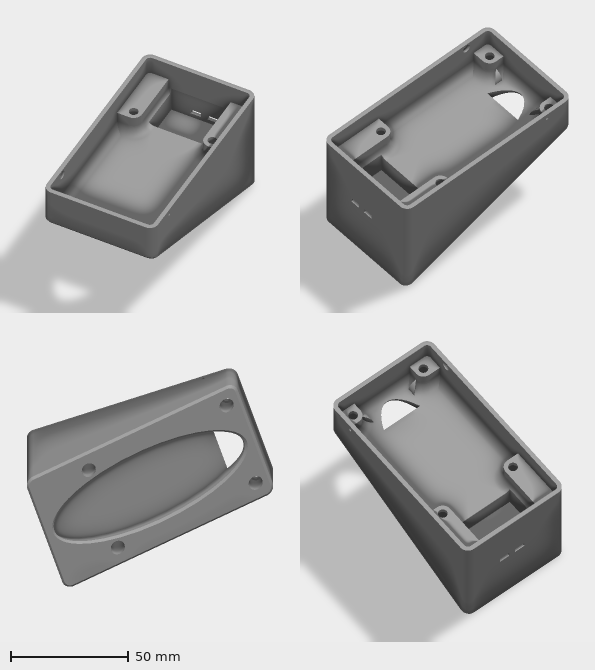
import cadquery as cq
import math

width = 53.7
length = 95.05
wall = 2.0
corner_radius = 4.0
front_height = 18.5
slope_angle = 20.0
edge_chamfer = 1.0

floor_depth = 18.0
floor_fillet = 4.0

boss_top_depth = 9.0
boss_radius = 4.0
hole_x = 19.0
front_hole_y = 6.4
back_hole_y = 68.6
screw_diameter = 4.2
screw_head_diameter = 6.0
screw_seat = 2.0

pocket_width = 27.85
pocket_front_y = 72.9
pocket_depth = 27.0
pocket_undercut = 0.5

slot_width = 5.0
slot_height = 2.2
slot_depth = 23.9
slot_x = 6.0
slot_spacing = 8.1
slot_count = 2

recess_width = 31.7
recess_length = 91.1
recess_depth = 6.0
recess_chamfer = 1.0
recess_center_y = 47.5

pin_y = 14.4
pin_depth = 2.8
pin_diameter = 1.4
pin_seat_diameter = 4.0
pin_seat_depth = 1.2

slope = math.radians(slope_angle)
back_height = front_height + length * math.tan(slope)
inner_x = width / 2 - wall
inner_back_y = length - wall
boss_side_x = hole_x - boss_radius


def box(x0, x1, y0, y1, z0, z1):
    return cq.Workplane("XY").box(x1 - x0, y1 - y0, z1 - z0, centered=False).translate((x0, y0, z0))


def vertical_cylinder(x, y, diameter, z0, z1):
    return cq.Workplane("XY", origin=(x, y, z0)).circle(diameter / 2).extrude(z1 - z0)


def outer_body():
    profile = [(0, 0), (length, 0), (length, -back_height), (0, -front_height)]
    body = cq.Workplane("YZ").polyline(profile).close().extrude(width / 2, both=True)
    body = body.edges("|Z").fillet(corner_radius)
    return body.faces("<Z").chamfer(edge_chamfer)


def boss(side, y0, y1, rounded_end):
    x0, x1 = sorted((side * boss_side_x, side * width / 2))
    block = box(x0, x1, y0, y1, -floor_depth, -boss_top_depth)
    inner_side = "<X" if side > 0 else ">X"
    return block.edges("|Z").edges(inner_side).edges(rounded_end).fillet(boss_radius)


def front_boss_gusset(side):
    """Straight piece of floor fillet that runs on past the rounded corner of a front boss."""
    x_boss = side * boss_side_x
    x_toe = x_boss - side * floor_fillet
    fillet_profile = (
        cq.Workplane("XZ", origin=(0, front_hole_y, -floor_depth))
        .moveTo(x_boss, 0)
        .lineTo(x_toe, 0)
        .radiusArc((x_boss, floor_fillet), side * floor_fillet)
        .close()
        .extrude(-floor_fillet)
    )
    mitre = (
        cq.Workplane("XY", origin=(0, 0, -floor_depth))
        .polyline([(x_boss, front_hole_y), (x_toe, front_hole_y), (x_toe, front_hole_y + floor_fillet)])
        .close()
        .extrude(floor_fillet)
    )
    return fillet_profile.intersect(mitre)


def cavity():
    space = box(-inner_x, inner_x, wall, inner_back_y, -floor_depth, 0)
    space = space.edges("|Z").fillet(corner_radius - wall)
    for side in (-1, 1):
        space = space.cut(boss(side, 0, front_hole_y + boss_radius, ">Y"))
        space = space.cut(boss(side, back_hole_y - boss_radius, length, "<Y"))
    space = space.faces("<Z").edges().fillet(floor_fillet)
    for side in (-1, 1):
        space = space.cut(front_boss_gusset(side))
    return space.clean()


def deep_pocket():
    half = pocket_width / 2
    top = floor_fillet - floor_depth
    return box(-half, half, pocket_front_y, inner_back_y + pocket_undercut, -pocket_depth, top)


def cable_slots():
    slots = cq.Workplane("XZ", origin=(slot_x, length, -slot_depth))
    slots = slots.pushPoints([(-i * slot_spacing, 0) for i in range(slot_count)])
    return slots.rect(slot_width, slot_height).extrude(wall)


def recess():
    plane = cq.Plane(
        origin=(0, recess_center_y, -front_height - recess_center_y * math.tan(slope)),
        xDir=(1, 0, 0),
        normal=(0, math.sin(slope), math.cos(slope)),
    )
    half_width = recess_width / 2
    half_length = recess_length / 2
    hollow = cq.Workplane(plane).ellipse(half_width, half_length).extrude(recess_depth)
    mouth = (
        cq.Workplane(plane)
        .ellipse(half_width + recess_chamfer, half_length + recess_chamfer)
        .workplane(offset=recess_chamfer)
        .ellipse(half_width, half_length)
        .loft(ruled=True)
    )
    return hollow.union(mouth)


def screw_hole(x, y):
    shank = vertical_cylinder(x, y, screw_diameter, -back_height, 0)
    head = vertical_cylinder(x, y, screw_head_diameter, -back_height, -boss_top_depth - screw_seat)
    return shank.union(head)


def pin_holes():
    center = cq.Workplane("YZ", origin=(0, pin_y, -pin_depth))
    through = center.circle(pin_diameter / 2).extrude(width / 2, both=True)
    seats = center.circle(pin_seat_diameter / 2).extrude(inner_x + pin_seat_depth, both=True)
    return through.union(seats)


result = outer_body().cut(cavity())
result = result.cut(deep_pocket())
result = result.cut(cable_slots())
result = result.cut(recess())
result = result.cut(pin_holes())
for hole_side in (-1, 1):
    for hole_y in (front_hole_y, back_hole_y):
        result = result.cut(screw_hole(hole_side * hole_x, hole_y))